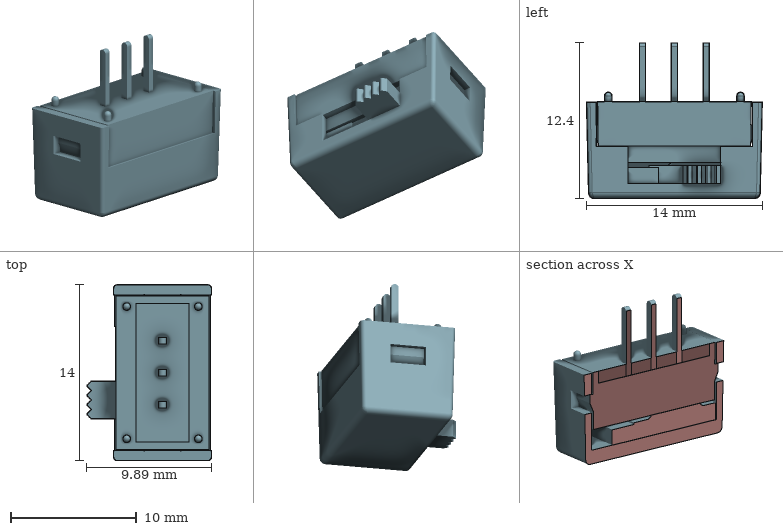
import cadquery as cq
import math


COVER_TOP_X = 7.8
COVER_TOP_Y = 14.0
COVER_HEIGHT = 7.67
COVER_DRAFT = 1.3
COVER_CORNER_RADIUS = 0.3
COVER_BOTTOM_RADIUS = 0.5
FLOOR_Z = 1.2
CAVITY_X = 6.34
CAVITY_Y = 12.4
SIDE_WALL_TOP_Z = 4.16
WINDOW_Y = 7.34

LATCH_OPENING_X = 2.92
LATCH_TOP_Z = 5.87
LATCH_EDGE_Z = 5.17
LATCH_BOTTOM_Z = 4.34
LATCH_X = 2.84
LATCH_REACH_Y = 6.42

BASE_TOP_X = 7.4
BASE_TOP_Y = 12.24
BASE_TOP_Z = 7.71
BASE_LEDGE_Z = 4.19
BASE_BOTTOM_Z = 2.86
BASE_DRAFT = 0.8
BASE_LOWER_X = 6.24
BASE_LOWER_Y = 12.1

PEG_RADIUS = 0.3
PEG_HEIGHT = 0.76
PEG_SPACING_X = 5.7
PEG_SPACING_Y = 10.52

INSERT_X = 4.2
INSERT_Y = 11.04
INSERT_DEPTH = 1.0

PIN_X = 0.6
PIN_Y = 0.5
PIN_PITCH = 2.54
PIN_COUNT = 3
PIN_TOP_Z = 12.4

SLIDER_X = 5.9
SLIDER_TOP_Z = 2.63
SLIDER_MIN_Y = -6.15
SLIDER_MAX_Y = 2.03
TAIL_TOP_Z = 2.49
TAIL_MAX_Y = 4.2
KNOB_Y = 3.0
KNOB_CENTER_Y = KNOB_Y / 2 - WINDOW_Y / 2
KNOB_TIP_X = -5.99
TOOTH_COUNT = 4
TOOTH_DEPTH = 0.32
RIB_X = 4.0
RIB_HALF_LENGTH = 2.71
RIB_END_SLOPE = 0.28

STOP_THICKNESS = 0.15
STOP_MIN_Y = 1.27


def block(size_x, size_y, bottom, top):
    """Box centred on the Z axis between two heights."""
    return cq.Workplane("XY").workplane(offset=bottom).rect(size_x, size_y).extrude(top - bottom)


def span_block(x_range, y_range, z_range):
    """Box given by its limits along each axis."""
    size = [high - low for low, high in (x_range, y_range, z_range)]
    return cq.Workplane("XY").box(*size, centered=False).translate((x_range[0], y_range[0], z_range[0]))


def tapered_block(top_x, top_y, bottom, top, draft):
    """Box that narrows downwards from its top face."""
    return cq.Workplane("XY").workplane(offset=top).rect(top_x, top_y).extrude(bottom - top, taper=draft)


def make_cover():
    cover = tapered_block(COVER_TOP_X, COVER_TOP_Y, 0, COVER_HEIGHT, COVER_DRAFT)
    cover = cover.edges("not(|X or |Y)").fillet(COVER_CORNER_RADIUS)
    cover = cover.faces("<Z").edges().fillet(COVER_BOTTOM_RADIUS)
    cavity = block(CAVITY_X, CAVITY_Y, FLOOR_Z, COVER_HEIGHT)
    side_slot = block(2 * COVER_TOP_X, CAVITY_Y, SIDE_WALL_TOP_Z, COVER_HEIGHT)
    knob_window = span_block((-COVER_TOP_X, 0), (-WINDOW_Y / 2, WINDOW_Y / 2), (FLOOR_Z, SIDE_WALL_TOP_Z))
    latch_openings = block(LATCH_OPENING_X, 2 * COVER_TOP_Y, LATCH_BOTTOM_Z, LATCH_TOP_Z)
    return cover.cut(cavity).cut(side_slot).cut(knob_window).cut(latch_openings)


def make_latches():
    """Wedge through the base that stands out at both Y ends."""
    root_y = BASE_LOWER_Y / 2
    return (
        cq.Workplane("YZ")
        .polyline([
            (-root_y, LATCH_BOTTOM_Z),
            (root_y, LATCH_BOTTOM_Z),
            (LATCH_REACH_Y, LATCH_EDGE_Z),
            (LATCH_REACH_Y, LATCH_TOP_Z),
            (-LATCH_REACH_Y, LATCH_TOP_Z),
            (-LATCH_REACH_Y, LATCH_EDGE_Z),
        ])
        .close()
        .extrude(LATCH_X / 2, both=True)
    )


def make_pegs():
    """Round pegs with hemispherical tips, sunk slightly into the base."""
    shoulder = PEG_HEIGHT - PEG_RADIUS
    root = -PEG_RADIUS
    dome_offset = PEG_RADIUS * math.sqrt(0.5)
    peg = (
        cq.Workplane("XZ")
        .moveTo(0, root)
        .lineTo(PEG_RADIUS, root)
        .lineTo(PEG_RADIUS, shoulder)
        .threePointArc((dome_offset, shoulder + dome_offset), (0, PEG_HEIGHT))
        .close()
        .revolve(360, (0, 0, 0), (0, 1, 0))
        .val()
    )
    return (
        cq.Workplane("XY")
        .workplane(offset=BASE_TOP_Z)
        .rarray(PEG_SPACING_X, PEG_SPACING_Y, 2, 2)
        .eachpoint(lambda place: peg.moved(place))
    )


def make_insert_blank():
    return block(INSERT_X, INSERT_Y, BASE_TOP_Z - INSERT_DEPTH, BASE_TOP_Z)


def make_base():
    upper = tapered_block(BASE_TOP_X, BASE_TOP_Y, BASE_LEDGE_Z, BASE_TOP_Z, BASE_DRAFT)
    lower = block(BASE_LOWER_X, BASE_LOWER_Y, BASE_BOTTOM_Z, BASE_LEDGE_Z)
    base = upper.union(lower).union(make_latches())
    for peg in make_pegs().vals():
        base = base.union(cq.Workplane(peg))
    return base.cut(make_insert_blank())


def make_pin(center_y):
    """Flat pin whose tip is fully rounded across its width."""
    half_x = PIN_X / 2
    foot_z = BASE_TOP_Z - INSERT_DEPTH
    shoulder_z = PIN_TOP_Z - half_x
    return (
        cq.Workplane("XZ", origin=(0, center_y + PIN_Y / 2, 0))
        .moveTo(-half_x, foot_z)
        .lineTo(half_x, foot_z)
        .lineTo(half_x, shoulder_z)
        .threePointArc((0, PIN_TOP_Z), (-half_x, shoulder_z))
        .close()
        .extrude(PIN_Y)
    )


def make_knob():
    """Knob with flat-topped 45 degree teeth across its outer end."""
    pitch = KNOB_Y / TOOTH_COUNT
    root_x = KNOB_TIP_X + TOOTH_DEPTH
    first_y = KNOB_CENTER_Y - KNOB_Y / 2
    points = [(0, first_y), (root_x, first_y)]
    for tooth in range(TOOTH_COUNT):
        start_y = first_y + tooth * pitch
        points.append((KNOB_TIP_X, start_y + TOOTH_DEPTH))
        points.append((KNOB_TIP_X, start_y + pitch - TOOTH_DEPTH))
        points.append((root_x, start_y + pitch))
    points.append((0, first_y + KNOB_Y))
    return cq.Workplane("XY").workplane(offset=FLOOR_Z).polyline(points).close().extrude(SLIDER_TOP_Z - FLOOR_Z)


def make_slider_rib():
    """Raised rib with sloped ends that runs against the underside of the base."""
    top_half_length = RIB_HALF_LENGTH - RIB_END_SLOPE
    return (
        cq.Workplane("YZ")
        .polyline([
            (KNOB_CENTER_Y - RIB_HALF_LENGTH, SLIDER_TOP_Z),
            (KNOB_CENTER_Y + RIB_HALF_LENGTH, SLIDER_TOP_Z),
            (KNOB_CENTER_Y + top_half_length, BASE_BOTTOM_Z),
            (KNOB_CENTER_Y - top_half_length, BASE_BOTTOM_Z),
        ])
        .close()
        .extrude(RIB_X / 2, both=True)
    )


def make_slider():
    half_x = SLIDER_X / 2
    plate = span_block((-half_x, half_x), (SLIDER_MIN_Y, SLIDER_MAX_Y), (FLOOR_Z, SLIDER_TOP_Z))
    tail = span_block((-half_x, half_x), (SLIDER_MAX_Y, TAIL_MAX_Y), (FLOOR_Z, TAIL_TOP_Z))
    return plate.union(tail).union(make_knob()).union(make_slider_rib())


def make_stop():
    """Thin plate against the cover wall that limits the travel of the knob."""
    wall_x = -CAVITY_X / 2
    return span_block((wall_x, wall_x + STOP_THICKNESS), (STOP_MIN_Y, CAVITY_Y / 2), (FLOOR_Z, TAIL_TOP_Z))


pins = [make_pin((index - (PIN_COUNT - 1) / 2) * PIN_PITCH) for index in range(PIN_COUNT)]

insert = make_insert_blank()
for pin in pins:
    insert = insert.cut(pin)

cover = make_cover()
base = make_base()
slider = make_slider()
stop = make_stop()

result = cq.Compound.makeCompound([
    cover.val(),
    base.val(),
    insert.val(),
    *[pin.val() for pin in pins],
    slider.val(),
    stop.val(),
])